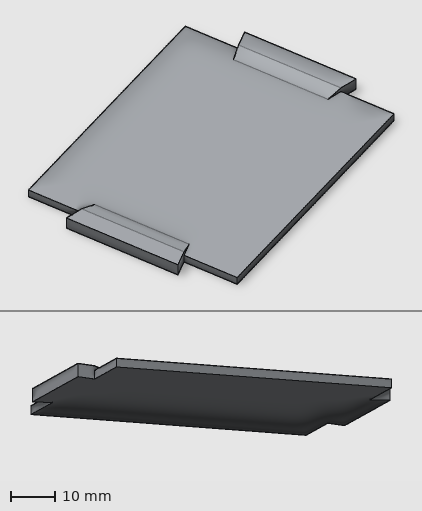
import cadquery as cq

plate_width = 55.6
plate_length = 65.9
plate_thickness = 2.0

overall_length = 74.8
tab_height = 3.1
tab_outer_width = 29.7
tab_inner_width = 25.2
ramp_length = 3.8

plate_end = plate_length / 2
tab_outer_end = overall_length / 2
tab_inner_end = plate_end - ramp_length


def make_tab():
    """Tab at the +Y end: a side profile trimmed to a tapered plan outline."""
    profile = (
        cq.Workplane("YZ")
        .polyline([
            (tab_inner_end, 0),
            (tab_outer_end, 0),
            (tab_outer_end, tab_height),
            (plate_end, tab_height),
            (tab_inner_end, plate_thickness),
        ])
        .close()
        .extrude(tab_outer_width / 2, both=True)
    )
    plan = (
        cq.Workplane("XY")
        .polyline([
            (-tab_inner_width / 2, tab_inner_end),
            (tab_inner_width / 2, tab_inner_end),
            (tab_outer_width / 2, tab_outer_end),
            (-tab_outer_width / 2, tab_outer_end),
        ])
        .close()
        .extrude(tab_height)
    )
    return profile.intersect(plan)


plate = cq.Workplane("XY").box(plate_width, plate_length, plate_thickness, centered=(True, True, False))
tab = make_tab()
result = plate.union(tab).union(tab.mirror("XZ"))